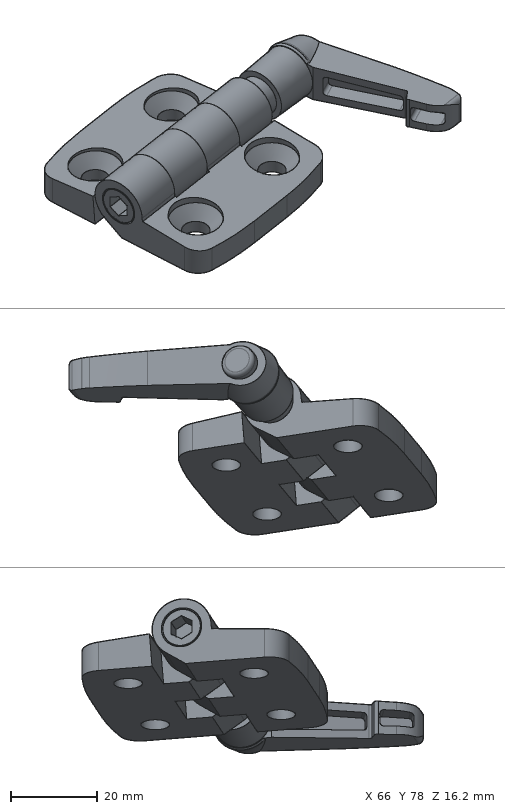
import cadquery as cq
import math


leaf_length = 48.0
leaf_reach = 26.0
side_bow_radius = 71.75
side_flat_length = 12.0
corner_radius = 5.0
outer_thickness = 6.55
inner_thickness = 8.1

axis_height = 9.05
knuckle_radius = 7.0
knuckle_foot_x = 7.2
knuckle_count = 4
knuckle_length = leaf_length / knuckle_count
toe_x = 0.9
clearance_top_x = 7.65
clearance_bottom_x = 7.0

screw_x = 15.0
screw_spacing = 28.1
screw_diameter = 6.6
head_diameter = 12.8
head_seat_z = 6.25

pin_diameter = 9.0
neck_diameter = 10.0
bore_mouth_chamfer = 0.3
socket_flats = 5.0
socket_depth = 5.0

hub_start = 52.0
hub_start_radius = 6.5
collar_start = 63.1
hub_end_radius = 6.8
collar_start_radius = 6.95
collar_low = 63.8
collar_high = 64.2
collar_radius = 7.2
cone_end = 72.55
cone_end_radius = 5.15

cap_diameter = 8.0
cap_end = 72.55
cap_fillet = 1.0

arm_tip_x = 40.0
arm_end_y = 78.0
arm_root_half_thickness = 5.1
arm_tip_half_thickness = 3.8
arm_tip_corner_radius = 1.55

upper_slope = 0.23
upper_curve_start = (21.05, 75.5)
upper_curve_middle = (28.1, 76.8)
upper_curve_end = (34.5, 77.85)
tip_crown = (36.3, arm_end_y)
tip_shoulder = (38.85, 77.7)
tip_shoulder_middle = (39.7, 77.15)
tip_nose = (arm_tip_x, 76.1)
tip_belly_middle = (38.85, 72.9)
tip_belly_end = (35.1, 70.05)
notch_lip_start = (31.1, 68.7)
notch_lip_middle = (30.4, 68.6)
notch_lip_end = (29.95, 69.1)
notch_root_start = (29.2, 70.3)
notch_root_middle = (28.8, 70.75)
notch_root_end = (28.3, 70.7)
lower_edge_start = (6.9, 63.1)

pocket_rim = 2.0
pocket_corner_radius = 0.9
long_pocket_start = (9.2, 63.9)
long_pocket_length = 19.8
long_pocket_depth = 3.9
tip_pocket_start = (31.4, 68.7)
tip_pocket_length = 8.1
tip_pocket_depth = 4.8


def leaf_outline():
    """Plan of one leaf on the +X side: bowed outer edge with rounded corners."""
    middle = leaf_length / 2
    flat_start = middle - side_flat_length / 2
    flat_end = middle + side_flat_length / 2
    corner_x = leaf_reach - side_bow_radius + math.sqrt(side_bow_radius**2 - flat_start**2)
    inner_x = -2 * knuckle_radius
    return (
        cq.Workplane("XY")
        .moveTo(inner_x, 0)
        .lineTo(corner_x, 0)
        .radiusArc((leaf_reach, flat_start), -side_bow_radius)
        .lineTo(leaf_reach, flat_end)
        .radiusArc((corner_x, leaf_length), -side_bow_radius)
        .lineTo(inner_x, leaf_length)
        .close()
        .extrude(axis_height + knuckle_radius)
        .edges("|Z and (not <X) and (not >X)")
        .fillet(corner_radius)
    )


def plate_top(x):
    """Height of the sloping plate face at x."""
    slope = (inner_thickness - outer_thickness) / (leaf_reach - knuckle_foot_x)
    return outer_thickness + slope * (leaf_reach - x)


def knuckle_section():
    """Plate section that wraps round the pin, cut below by a face tangent to the knuckle."""
    toe_distance = math.hypot(toe_x, axis_height)
    tangent_angle = math.atan2(-axis_height, toe_x) - math.acos(knuckle_radius / toe_distance)
    tangent_x = knuckle_radius * math.cos(tangent_angle)
    tangent_z = axis_height + knuckle_radius * math.sin(tangent_angle)
    return (
        cq.Workplane("XZ")
        .moveTo(leaf_reach, 0)
        .lineTo(toe_x, 0)
        .lineTo(tangent_x, tangent_z)
        .threePointArc((0, axis_height + knuckle_radius), (knuckle_radius, axis_height))
        .lineTo(knuckle_foot_x, inner_thickness)
        .lineTo(leaf_reach, outer_thickness)
        .close()
    )


def clearance_section():
    """Plate section that stops short of the other leaf's knuckle."""
    return (
        cq.Workplane("XZ")
        .moveTo(leaf_reach, 0)
        .lineTo(clearance_bottom_x, 0)
        .lineTo(clearance_top_x, plate_top(clearance_top_x))
        .lineTo(leaf_reach, outer_thickness)
        .close()
    )


def screw_hole():
    """Straight head bore, cone and screw bore, as one revolved cutter about the Z axis."""
    head_radius = head_diameter / 2
    screw_radius = screw_diameter / 2
    return (
        cq.Workplane("XZ")
        .lineTo(screw_radius, 0)
        .lineTo(screw_radius, head_seat_z - (head_radius - screw_radius))
        .lineTo(head_radius, head_seat_z)
        .lineTo(head_radius, inner_thickness)
        .lineTo(0, inner_thickness)
        .close()
        .revolve(360, (0, 0, 0), (0, 1, 0))
    )


def y_cylinder(diameter, start, end):
    """Cylinder on the pin axis between two y positions."""
    return (
        cq.Workplane("XZ", origin=(0, start, axis_height))
        .circle(diameter / 2)
        .extrude(start - end)
    )


def make_leaf(first_knuckle):
    """Leaf on the +X side with every second knuckle, counted from first_knuckle."""
    leaf = cq.Workplane("XY")
    for index in range(knuckle_count):
        has_knuckle = index % 2 == first_knuckle
        section = knuckle_section() if has_knuckle else clearance_section()
        leaf = leaf.union(section.extrude(-knuckle_length).translate((0, index * knuckle_length, 0)))
    leaf = leaf.intersect(leaf_outline())
    for side in (-1, 1):
        hole_y = leaf_length / 2 + side * screw_spacing / 2
        leaf = leaf.cut(screw_hole().translate((screw_x, hole_y, 0)))
    return leaf.cut(y_cylinder(pin_diameter, 0, leaf_length))


def bore_mouth():
    """Conical cutter that breaks the bore edge at the socket end of the knuckles."""
    return (
        cq.Workplane("XY")
        .lineTo(pin_diameter / 2 + bore_mouth_chamfer, 0)
        .lineTo(pin_diameter / 2, bore_mouth_chamfer)
        .lineTo(0, bore_mouth_chamfer)
        .close()
        .revolve(360, (0, 0, 0), (0, 1, 0))
        .translate((0, 0, axis_height))
    )


def upper_edge_y(x):
    """Y position at x on the straight stretch of the arm's upper edge."""
    return upper_curve_start[1] + upper_slope * (x - upper_curve_start[0])


def make_hub():
    """Turned hub: tapered sleeve, collar and cone, with its end trimmed along the arm's upper edge."""
    hub = (
        cq.Workplane("XY")
        .moveTo(0, hub_start)
        .lineTo(hub_start_radius, hub_start)
        .lineTo(hub_end_radius, collar_start)
        .lineTo(collar_start_radius, collar_start)
        .lineTo(collar_radius, collar_low)
        .lineTo(collar_radius, collar_high)
        .lineTo(cone_end_radius, cone_end)
        .lineTo(0, cone_end)
        .close()
        .revolve(360, (0, 0, 0), (0, 1, 0))
        .translate((0, 0, axis_height))
    )
    trim_x = 2 * collar_radius
    trim = (
        cq.Workplane("XY")
        .moveTo(-trim_x, upper_edge_y(-trim_x))
        .lineTo(trim_x, upper_edge_y(trim_x))
        .lineTo(-trim_x, upper_edge_y(trim_x))
        .close()
        .extrude(axis_height + trim_x)
    )
    return hub.cut(trim)


def make_arm():
    """Lever arm: plan outline with a thumb notch, thinning evenly towards the rounded tip."""
    plan = (
        cq.Workplane("XY")
        .moveTo(0, collar_start)
        .lineTo(0, upper_edge_y(0))
        .lineTo(*upper_curve_start)
        .threePointArc(upper_curve_middle, upper_curve_end)
        .threePointArc(tip_crown, tip_shoulder)
        .threePointArc(tip_shoulder_middle, tip_nose)
        .threePointArc(tip_belly_middle, tip_belly_end)
        .lineTo(*notch_lip_start)
        .threePointArc(notch_lip_middle, notch_lip_end)
        .lineTo(*notch_root_start)
        .threePointArc(notch_root_middle, notch_root_end)
        .lineTo(*lower_edge_start)
        .close()
        .extrude(2 * axis_height)
    )
    side = (
        cq.Workplane("XZ")
        .moveTo(0, axis_height - arm_root_half_thickness)
        .lineTo(arm_tip_x, axis_height - arm_tip_half_thickness)
        .lineTo(arm_tip_x, axis_height + arm_tip_half_thickness)
        .lineTo(0, axis_height + arm_root_half_thickness)
        .close()
        .extrude(-arm_end_y)
        .edges("|Y and >X")
        .fillet(arm_tip_corner_radius)
    )
    return plan.intersect(side)


def arm_half_thickness(x):
    """Half thickness of the arm at x."""
    return arm_root_half_thickness + (arm_tip_half_thickness - arm_root_half_thickness) * x / arm_tip_x


def arm_pocket(start, length, depth):
    """Pocket cutter square to the arm's lower edge, from the (x, y) point start along the edge."""
    edge_rise = notch_root_end[1] - lower_edge_start[1]
    edge_run = notch_root_end[0] - lower_edge_start[0]
    angle = math.atan2(edge_rise, edge_run)
    along = (math.cos(angle), math.sin(angle), 0)
    inward = (-math.sin(angle), math.cos(angle), 0)
    near_half = arm_half_thickness(start[0]) - pocket_rim
    far_half = arm_half_thickness(start[0] + length * along[0]) - pocket_rim
    mouth_plane = cq.Plane(origin=(*start, axis_height), xDir=along, normal=inward)
    return (
        cq.Workplane(mouth_plane)
        .polyline([(0, -near_half), (length, -far_half), (length, far_half), (0, near_half)])
        .close()
        .extrude(depth)
        .edges(cq.selectors.ParallelDirSelector(cq.Vector(*inward)))
        .fillet(pocket_corner_radius)
    )


def make_lever():
    """Pin, hub, end cap and arm as one solid."""
    pin = y_cylinder(pin_diameter, 0, leaf_length)
    neck = y_cylinder(neck_diameter, leaf_length, hub_start)
    cap = y_cylinder(cap_diameter, hub_start, cap_end).faces(">Y").edges().fillet(cap_fillet)
    arm = make_arm()
    arm = arm.cut(arm_pocket(long_pocket_start, long_pocket_length, long_pocket_depth))
    arm = arm.cut(arm_pocket(tip_pocket_start, tip_pocket_length, tip_pocket_depth))
    socket = (
        cq.Workplane("XZ", origin=(0, 0, axis_height))
        .transformed(rotate=(0, 0, 90))
        .polygon(6, socket_flats / math.cos(math.pi / 6))
        .extrude(-socket_depth)
    )
    return make_hub().union(neck).union(pin).union(cap).union(arm).cut(socket)


right_leaf = make_leaf(0).cut(bore_mouth())
left_leaf = make_leaf(1).mirror("YZ")
lever = make_lever()
result = cq.Compound.makeCompound([right_leaf.val(), left_leaf.val(), lever.val()])